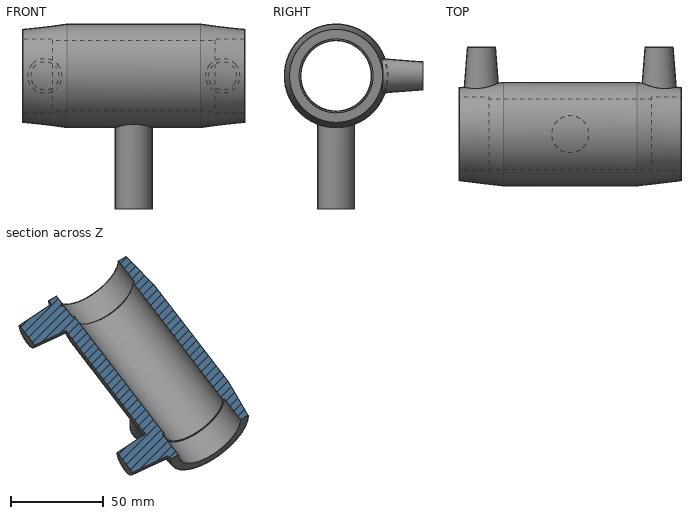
import cadquery as cq

length = 120.0
body_diameter = 56.0
end_diameter = 50.3
taper_length = 24.0

bore_diameter = 38.0
socket_diameter = 40.0
socket_depth = 16.0

stem_diameter = 20.0
stem_reach = 72.0

peg_tip_diameter = 15.2
peg_root_diameter = 18.8
peg_reach = 47.0
peg_root_offset = 24.0
peg_x = length / 2 - taper_length / 2


def make_body():
    """Solid sleeve with tapered ends, revolved about X."""
    half = length / 2
    shoulder = half - taper_length
    return (
        cq.Workplane("XY")
        .moveTo(-half, 0)
        .lineTo(-half, end_diameter / 2)
        .lineTo(-shoulder, body_diameter / 2)
        .lineTo(shoulder, body_diameter / 2)
        .lineTo(half, end_diameter / 2)
        .lineTo(half, 0)
        .close()
        .revolve(360, (0, 0, 0), (1, 0, 0))
    )


def make_stem():
    """Downward cylinder starting on the sleeve axis."""
    return cq.Workplane("XY").circle(stem_diameter / 2).extrude(-stem_reach)


def make_peg(x):
    """Round peg along +Y: straight from the sleeve axis, then tapering to its tip."""
    root_radius = peg_root_diameter / 2
    return (
        cq.Workplane("XY")
        .moveTo(x, 0)
        .lineTo(x + root_radius, 0)
        .lineTo(x + root_radius, peg_root_offset)
        .lineTo(x + peg_tip_diameter / 2, peg_reach)
        .lineTo(x, peg_reach)
        .close()
        .revolve(360, (x, 0, 0), (x, 1, 0))
    )


def make_bore():
    """Through bore with a wider socket at each end."""
    bore = cq.Workplane("YZ").circle(bore_diameter / 2).extrude(length / 2, both=True)
    for side in (-1, 1):
        socket = (
            cq.Workplane("YZ", origin=(side * length / 2, 0, 0))
            .circle(socket_diameter / 2)
            .extrude(-side * socket_depth)
        )
        bore = bore.union(socket)
    return bore


result = make_body().union(make_stem())
for side in (-1, 1):
    result = result.union(make_peg(side * peg_x))
result = result.cut(make_bore())